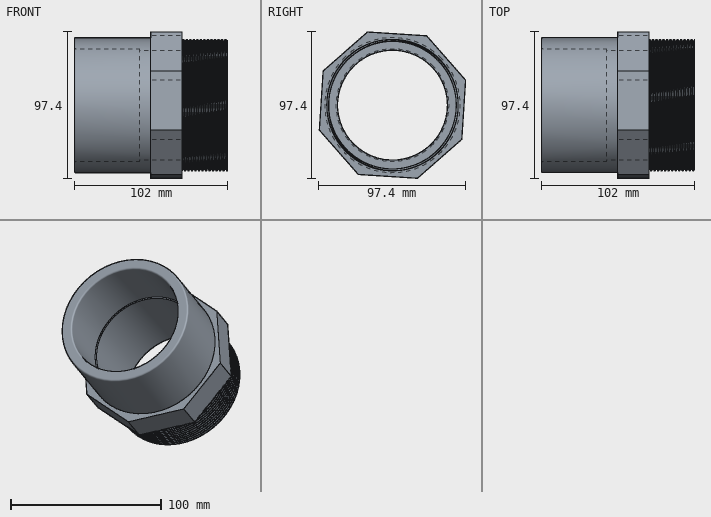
import cadquery as cq
import math

total_length = 102.0
nut_start = 50.8
nut_width = 20.9
nut_end = nut_start + nut_width

socket_diameter = 90.0
socket_bore_diameter = 75.0
socket_depth = 43.5
rim_radius = 1.1

nut_sides = 8
nut_across_flats = 95.1
nut_tilt_degrees = 3.7

through_bore_diameter = 72.9
thread_root_diameter = 84.9
thread_crest_diameter = 87.4
thread_length = total_length - nut_end
thread_turns = 13
thread_pitch = thread_length / thread_turns
thread_base_width = 2.0
thread_crest_width = 0.6
thread_offset = 0.2
thread_overrun_turns = 1


def axial_cylinder(start, end, diameter):
    """Cylinder about the X axis between two axial positions."""
    return cq.Workplane("YZ", origin=(start, 0, 0)).circle(diameter / 2).extrude(end - start)


def make_socket():
    """Solid socket cylinder with a rounded outer edge on its open end."""
    socket = axial_cylinder(0, nut_start, socket_diameter)
    return socket.faces("<X").edges().fillet(rim_radius)


def make_nut():
    """Octagonal prism between the socket and the threaded end."""
    across_corners = nut_across_flats / math.cos(math.pi / nut_sides)
    half_side_degrees = 180 / nut_sides
    nut = cq.Workplane("YZ", origin=(nut_start, 0, 0)).polygon(nut_sides, across_corners).extrude(nut_width)
    return nut.rotate((0, 0, 0), (1, 0, 0), half_side_degrees - nut_tilt_degrees)


def make_adapter():
    """Socket, nut and thread core in one piece with a stepped bore."""
    core = axial_cylinder(nut_end, total_length, thread_root_diameter)
    bore = axial_cylinder(0, total_length, through_bore_diameter)
    socket_bore = axial_cylinder(0, socket_depth, socket_bore_diameter)
    adapter = make_socket().union(make_nut()).union(core).cut(bore).cut(socket_bore)
    rim = adapter.faces("<X").edges(cq.selectors.RadiusNthSelector(0))
    return rim.fillet(rim_radius)


def thread_helix(diameter, axial_shift, turns):
    """One corner of the thread profile, as a right-hand helix about Z."""
    helix = cq.Wire.makeHelix(thread_pitch, turns * thread_pitch, diameter / 2)
    return helix.translate(cq.Vector(0, 0, axial_shift))


def make_thread():
    """Right-hand trapezoidal ridge around the core, trimmed flush at both ends."""
    turns = thread_turns + 2 * thread_overrun_turns
    corners = [
        (thread_root_diameter, -thread_base_width / 2),
        (thread_crest_diameter, -thread_crest_width / 2),
        (thread_crest_diameter, thread_crest_width / 2),
        (thread_root_diameter, thread_base_width / 2),
    ]
    helices = [thread_helix(diameter, shift, turns) for diameter, shift in corners]
    neighbours = helices[1:] + helices[:1]
    faces = [cq.Face.makeRuledSurface(a, b) for a, b in zip(helices, neighbours)]
    for end_turn in (0, turns):
        profile = [
            cq.Vector(diameter / 2, 0, shift + end_turn * thread_pitch) for diameter, shift in corners
        ]
        faces.append(cq.Face.makeFromWires(cq.Wire.makePolygon(profile, close=True)))
    ridge = cq.Solid.makeSolid(cq.Shell.makeShell(faces)).fix()

    axis_plane = cq.Plane(origin=(0, 0, 0), xDir=(0, 1, 0), normal=(1, 0, 0))
    start = nut_end + thread_offset - thread_overrun_turns * thread_pitch
    ridge = ridge.moved(cq.Location(axis_plane)).translate(cq.Vector(start, 0, 0))
    envelope = axial_cylinder(nut_end, total_length, socket_diameter)
    return cq.Workplane(ridge).intersect(envelope)


adapter = make_adapter()
thread = make_thread()
result = cq.Compound.makeCompound([adapter.solids().val(), thread.solids().val()])